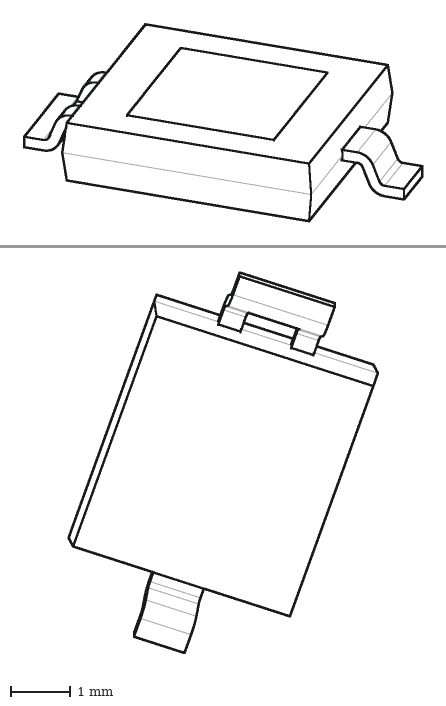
import cadquery as cq
import math

overall_length = 6.7

housing_length = 4.49
housing_width = 4.0
housing_height = 1.1
standoff = 0.1
flank_inset = 0.06
parting_z = standoff + housing_height / 2
housing_top_z = standoff + housing_height

window_side = 2.645
window_depth = 0.2

lead_thickness = 0.2
foot_length = 0.35
inner_bend_radius = 0.1
outer_bend_radius = inner_bend_radius + lead_thickness
bend_angle = math.radians(68)
wide_lead_width = 1.7
narrow_lead_width = 0.905
slot_width = narrow_lead_width
slot_floor_z = 0.33
lead_embed = flank_inset

tip_x = overall_length / 2
lead_end_x = housing_length / 2 - lead_embed
lead_bottom_z = parting_z - lead_thickness / 2
lead_top_z = lead_bottom_z + lead_thickness


def make_housing_half(height):
    """Tapered half above the parting line, or below it for a negative height."""
    taper = math.degrees(math.atan(flank_inset / (housing_height / 2)))
    return (
        cq.Workplane("XY", origin=(0, 0, parting_z))
        .rect(housing_length, housing_width)
        .extrude(height, taper=taper)
    )


def make_window():
    """Square plate whose upper face is level with the housing top."""
    return (
        cq.Workplane("XY", origin=(0, 0, housing_top_z - window_depth))
        .rect(window_side, window_side)
        .extrude(window_depth)
    )


def make_lead(width):
    """S-bent strip on the +X side, with its flat upper end set into the housing."""
    inner_run = inner_bend_radius * math.sin(bend_angle)
    inner_rise = inner_bend_radius * (1 - math.cos(bend_angle))
    outer_run = outer_bend_radius * math.sin(bend_angle)
    outer_rise = outer_bend_radius * (1 - math.cos(bend_angle))
    leg_rise = lead_bottom_z - inner_rise - outer_rise
    leg_run = leg_rise / math.tan(bend_angle)
    foot_end_x = tip_x - foot_length
    shoulder_x = foot_end_x - inner_run - outer_run - leg_run

    return (
        cq.Workplane("XZ")
        .moveTo(tip_x, 0)
        .lineTo(foot_end_x, 0)
        .tangentArcPoint((-outer_run, outer_rise))
        .line(-leg_run, leg_rise)
        .tangentArcPoint((-inner_run, inner_rise))
        .lineTo(lead_end_x, lead_bottom_z)
        .lineTo(lead_end_x, lead_top_z)
        .lineTo(shoulder_x, lead_top_z)
        .tangentArcPoint((outer_run, -outer_rise))
        .line(leg_run, -leg_rise)
        .tangentArcPoint((inner_run, -inner_rise))
        .lineTo(tip_x, lead_thickness)
        .close()
        .extrude(width / 2, both=True)
    )


def make_slotted_lead():
    """Wide lead on the -X side, split into two arms above the slot floor."""
    slot = cq.Workplane("XY", origin=(0, 0, slot_floor_z)).rect(
        overall_length, slot_width
    ).extrude(lead_top_z - slot_floor_z)
    return make_lead(wide_lead_width).mirror("YZ").cut(slot)


window = make_window()
narrow_lead = make_lead(narrow_lead_width)
slotted_lead = make_slotted_lead()

housing = make_housing_half(housing_height / 2).union(make_housing_half(-housing_height / 2))
for inset_body in (window, narrow_lead, slotted_lead):
    housing = housing.cut(inset_body)

bodies = (housing, window, narrow_lead, slotted_lead)
result = cq.Compound.makeCompound([body.solids().val() for body in bodies])